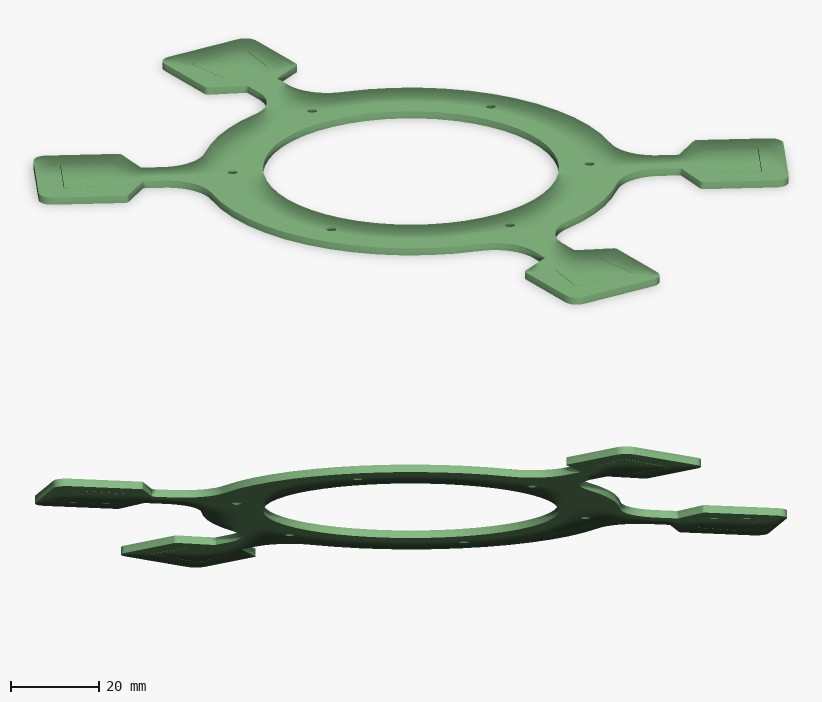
import cadquery as cq
import math

overall_length = 157.5
thickness = 1.7
ring_outer_diameter = 95.0
ring_inner_diameter = 67.0
arm_angle = 30.0

hole_diameter = 2.2
hole_circle_diameter = 81.0
hole_count = 6
first_hole_angle = 30.0

neck_width = 8.0
pad_width = 24.9
neck_end = 61.0
pad_shoulder = 65.0
ring_neck_radius = 10.5
outer_corner_radius = 3.0
shoulder_radius = 1.0
neck_corner_radius = 0.6
corner_tolerance = 0.2

slit_width = 0.13
slit_start = 67.9
slit_end = 79.0
tongue_root_width = 12.0
tongue_tip_width = 15.1
tongue_corner_radius = 1.0

cos_arm = math.cos(math.radians(arm_angle))
sin_arm = math.sin(math.radians(arm_angle))
corner_loss = outer_corner_radius * (cos_arm + sin_arm - 1)
pad_end = (overall_length / 2 - pad_width / 2 * sin_arm + corner_loss) / cos_arm


def round_corners_at(arm, corner_x, radius):
    """Round the two mirrored upright corners at a given distance along the arm."""
    corners = cq.selectors.BoxSelector(
        (corner_x - corner_tolerance, -pad_width, -thickness),
        (corner_x + corner_tolerance, pad_width, 2 * thickness),
    )
    return arm.edges("|Z").edges(corners).fillet(radius)


def make_arm():
    """Neck and pad along +X, with the concave blends that run into the ring."""
    ring_radius = ring_outer_diameter / 2
    half_neck = neck_width / 2
    half_pad = pad_width / 2

    blend_y = half_neck + ring_neck_radius
    blend_x = math.sqrt((ring_radius + ring_neck_radius) ** 2 - blend_y ** 2)
    to_ring = ring_radius / (ring_radius + ring_neck_radius)
    ring_x = blend_x * to_ring
    ring_y = blend_y * to_ring
    middle_angle = (math.atan2(-blend_y, -blend_x) - math.pi / 2) / 2
    middle_x = blend_x + ring_neck_radius * math.cos(middle_angle)
    middle_y = blend_y + ring_neck_radius * math.sin(middle_angle)

    arm = (
        cq.Workplane("XY")
        .moveTo(ring_x, -ring_y)
        .threePointArc((middle_x, -middle_y), (blend_x, -half_neck))
        .lineTo(neck_end, -half_neck)
        .lineTo(pad_shoulder, -half_pad)
        .lineTo(pad_end, -half_pad)
        .lineTo(pad_end, half_pad)
        .lineTo(pad_shoulder, half_pad)
        .lineTo(neck_end, half_neck)
        .lineTo(blend_x, half_neck)
        .threePointArc((middle_x, middle_y), (ring_x, ring_y))
        .close()
        .extrude(thickness)
    )
    arm = arm.edges("|Z and >X").fillet(outer_corner_radius)
    arm = round_corners_at(arm, pad_shoulder, shoulder_radius)
    return round_corners_at(arm, neck_end, neck_corner_radius)


def make_tongue(margin):
    """Tapered tongue outline grown by a margin, as a block along +X."""
    slope = (tongue_tip_width - tongue_root_width) / 2 / (slit_end - slit_start)
    side_shift = margin * math.hypot(1, slope)
    root_y = tongue_root_width / 2 + side_shift
    tip_y = tongue_tip_width / 2 + side_shift + margin * slope
    tip_x = slit_end + margin
    return (
        cq.Workplane("XY")
        .polyline([(slit_start, -root_y), (tip_x, -tip_y), (tip_x, tip_y), (slit_start, root_y)])
        .close()
        .extrude(thickness)
        .edges("|Z and >X")
        .fillet(tongue_corner_radius + margin)
    )


def make_slit():
    """Band of constant width around the sides and tip of the tongue."""
    return make_tongue(slit_width / 2).cut(make_tongue(-slit_width / 2))


def turn(body, angle):
    return body.rotate((0, 0, 0), (0, 0, 1), angle)


arm_with_slit = make_arm().cut(make_slit())
result = cq.Workplane("XY").circle(ring_outer_diameter / 2).extrude(thickness)
for angle in (arm_angle, 180 - arm_angle, 180 + arm_angle, -arm_angle):
    result = result.union(turn(arm_with_slit, angle))

result = result.cut(cq.Workplane("XY").circle(ring_inner_diameter / 2).extrude(thickness))
screw_holes = (
    cq.Workplane("XY")
    .polarArray(hole_circle_diameter / 2, first_hole_angle, 360, hole_count)
    .circle(hole_diameter / 2)
    .extrude(thickness)
)
result = result.cut(screw_holes)